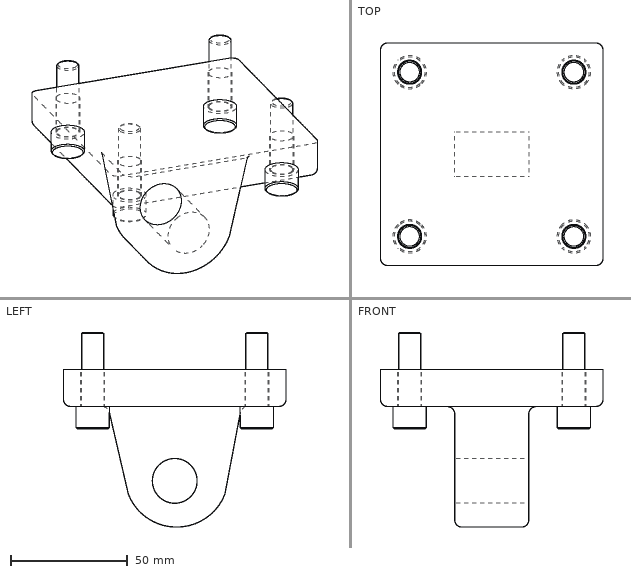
import cadquery as cq
import math

plate_side = 95.25
plate_thickness = 15.875
edge_radius = 3.175

lug_width = 31.75
lug_root_length = 57.15
lug_depth = 51.57
lug_nose_radius = 22.225
lug_nose_offset = -0.8
lug_shoulder_depth = 37.5
pin_hole_diameter = 19.05
pin_hole_depth = 31.75

selection_margin = 1

screw_spacing = 70.2
screw_diameter = 9.525
screw_hole_diameter = 10.32
screw_length = 2 * plate_thickness
screw_head_diameter = 14.29
screw_head_height = screw_diameter
screw_chamfer = 0.6

screw_reach = screw_spacing / 2
screw_centers = [(x, y) for x in (-screw_reach, screw_reach) for y in (-screw_reach, screw_reach)]


def make_plate():
    """Square plate with rounded corners and a rounded lower rim."""
    plate = cq.Workplane("XY").rect(plate_side, plate_side).extrude(plate_thickness)
    plate = plate.edges("|Z").fillet(edge_radius)
    return plate.faces("<Z").edges().fillet(edge_radius)


def make_lug():
    """Tapered lug with a rounded nose, still sharp-edged, centred on X = 0."""
    root_reach = lug_root_length / 2
    nose_center_depth = lug_depth - lug_nose_radius
    shoulder_drop = lug_shoulder_depth - nose_center_depth
    shoulder_reach = math.sqrt(lug_nose_radius**2 - shoulder_drop**2)
    return (
        cq.Workplane("YZ")
        .moveTo(-root_reach, 0)
        .lineTo(lug_nose_offset - shoulder_reach, -lug_shoulder_depth)
        .threePointArc(
            (lug_nose_offset, -lug_depth),
            (lug_nose_offset + shoulder_reach, -lug_shoulder_depth),
        )
        .lineTo(root_reach, 0)
        .close()
        .extrude(lug_width / 2, both=True)
    )


def edges_inside(x_range, z_range):
    """Select the edges lying wholly within an X range and a Z range, across the length of the lug root."""
    y_limit = lug_root_length / 2 + selection_margin
    return cq.selectors.BoxSelector(
        (x_range[0], -y_limit, z_range[0]),
        (x_range[1], y_limit, z_range[1]),
        boundingbox=True,
    )


def round_lug_edges(bracket):
    """Round the outline of each lug side face, then fillet the lug root into the plate."""
    whole_lug_height = (-lug_depth - selection_margin, selection_margin)
    root_height = (-selection_margin, selection_margin)
    for side in (-1, 1):
        face_x = side * lug_width / 2
        face_range = (face_x - selection_margin, face_x + selection_margin)
        face_edges = bracket.edges(edges_inside(face_range, whole_lug_height))
        outline_edges = face_edges.edges("not |Y")
        bracket = outline_edges.fillet(edge_radius)
    x_limit = lug_width / 2 + selection_margin
    return bracket.edges(edges_inside((-x_limit, x_limit), root_height)).fillet(edge_radius)


def make_bracket():
    """Plate and lug in one piece, with rounded lug edges, pin hole and screw clearance holes."""
    bracket = round_lug_edges(make_plate().union(make_lug()))
    pin_hole = (
        cq.Workplane("YZ")
        .center(0, -pin_hole_depth)
        .circle(pin_hole_diameter / 2)
        .extrude(lug_width / 2, both=True)
    )
    screw_holes = (
        cq.Workplane("XY")
        .pushPoints(screw_centers)
        .circle(screw_hole_diameter / 2)
        .extrude(plate_thickness)
    )
    return bracket.cut(pin_hole).cut(screw_holes)


def make_screw(center):
    """Cap screw whose head bears on the underside of the plate."""
    head = cq.Workplane("XY").circle(screw_head_diameter / 2).extrude(-screw_head_height)
    head = head.faces("<Z").edges().chamfer(screw_chamfer)
    shank = cq.Workplane("XY").circle(screw_diameter / 2).extrude(screw_length)
    shank = shank.faces(">Z").edges().chamfer(screw_chamfer)
    return head.union(shank).translate((*center, 0))


bracket = make_bracket()
screws = [make_screw(center) for center in screw_centers]

result = cq.Compound.makeCompound([bracket.val(), *[screw.val() for screw in screws]])